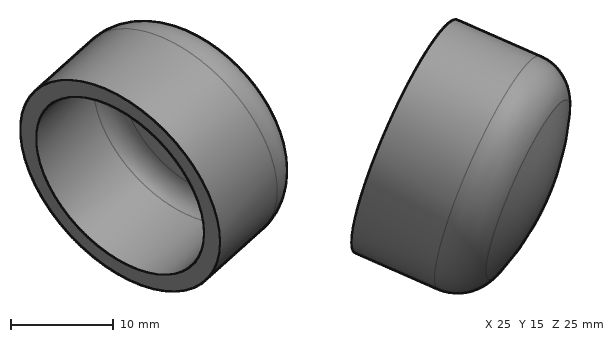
import cadquery as cq
import math

outer_diameter = 25.0
wall = 2.0
overall_length = 15.0
crown_radius = 27.0
knuckle_radius = 4.5

outer_radius = outer_diameter / 2
knuckle_center_x = outer_radius - knuckle_radius

crown_to_knuckle = crown_radius - knuckle_radius
tangent_angle = math.asin(knuckle_center_x / crown_to_knuckle)
crown_center_y = overall_length - crown_radius
tube_length = crown_center_y + crown_to_knuckle * math.cos(tangent_angle)


def dished_body(inset):
    """Solid of the cap's outer shape, shrunk inward by inset except at its flat base, Y = 0."""
    radius = outer_radius - inset
    knuckle = knuckle_radius - inset
    crown = crown_radius - inset

    def knuckle_point(angle):
        return (
            knuckle_center_x + knuckle * math.sin(angle),
            tube_length + knuckle * math.cos(angle),
        )

    def crown_point(angle):
        return (crown * math.sin(angle), crown_center_y + crown * math.cos(angle))

    knuckle_middle = (tangent_angle + math.pi / 2) / 2
    return (
        cq.Workplane("XY")
        .lineTo(radius, 0)
        .lineTo(radius, tube_length)
        .threePointArc(knuckle_point(knuckle_middle), knuckle_point(tangent_angle))
        .threePointArc(crown_point(tangent_angle / 2), crown_point(0))
        .close()
        .revolve(360, (0, 0, 0), (0, 1, 0))
    )


result = dished_body(0).cut(dished_body(wall))